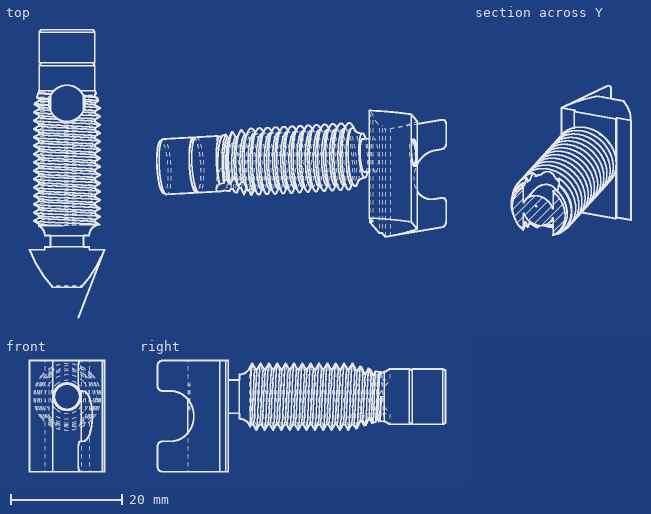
import cadquery as cq
import math


nut_height = 20.0
nut_width = 13.5
nut_front_width = 5.1
nut_depth = 6.8
boss_width = 8.0
boss_height = 0.5
shoulder_y = -boss_height
nut_front_y = shoulder_y - nut_depth

blade_angle = 69.0
blade_end_y = -12.74
blade_thickness = 0.03
blade_tip_radius = 1.0
blade_slot_width = 9.0
blade_slot_start = 6.1
blade_length = (shoulder_y - blade_end_y) / math.sin(math.radians(blade_angle))

screw_axis_z = 3.5
screw_front_y = 2.0
screw_body_y = 28.0
screw_rear_y = 39.0
body_diameter = 10.0
cap_length = 6.0
cap_y = screw_rear_y - cap_length
edge_chamfer_length = 0.5
edge_chamfer_depth = edge_chamfer_length * math.tan(math.radians(30))

thread_diameter = 12.0
thread_core_diameter = 10.1
thread_pitch = 1.5
thread_turns = 17
thread_start_y = 2.4
thread_root_width = 1.1
thread_root_overlap = 0.15
thread_taper_slope = 3.05
thread_clearance = 1.0
front_cove_radius = 2.0

window_diameter = 6.5
window_y = 25.75
spindle_diameter = 6.0

pin_diameter = 4.92
pin_chamfer = 0.2
pin_recess = 0.2


def cylinder_along_y(diameter, start_y, end_y):
    """Cylinder on the screw axis between two Y positions."""
    length = end_y - start_y
    origin = cq.Vector(0, start_y, screw_axis_z)
    return cq.Workplane(cq.Solid.makeCylinder(diameter / 2, length, origin, cq.Vector(0, 1, 0)))


def revolve_on_screw_axis(profile):
    """Revolve an XY profile about the Y axis and move it onto the screw axis."""
    turned = profile.close().revolve(360, (0, 0, 0), (0, 1, 0))
    return turned.translate((0, 0, screw_axis_z))


def make_nut():
    half_width = nut_width / 2
    half_front = nut_front_width / 2
    half_boss = boss_width / 2
    angle = math.radians(blade_angle)
    chord_angle = math.atan2(nut_depth, half_width - half_front)
    chord = math.hypot(nut_depth, half_width - half_front)
    flank_radius = chord / (2 * math.sin(angle - chord_angle))
    half_nut = (
        cq.Workplane("XY")
        .workplane(offset=-nut_height / 2)
        .moveTo(0, 0)
        .lineTo(half_boss, 0)
        .lineTo(half_boss, shoulder_y)
        .lineTo(half_width, shoulder_y)
        .radiusArc((half_front, nut_front_y), flank_radius)
        .lineTo(0, nut_front_y)
        .close()
        .extrude(nut_height)
    )
    return half_nut.union(half_nut.mirror("YZ"))


def make_blade():
    angle = math.radians(blade_angle)
    plane = cq.Plane(
        origin=(nut_width / 2, shoulder_y, 0),
        xDir=(-math.cos(angle), -math.sin(angle), 0),
        normal=(-math.sin(angle), math.cos(angle), 0),
    )
    sheet = (
        cq.Workplane(plane)
        .center(blade_length / 2, 0)
        .rect(blade_length, nut_height)
        .extrude(blade_thickness)
    )
    slot_radius = blade_slot_width / 2
    slot_center = blade_slot_start + slot_radius
    slot = (
        cq.Workplane(plane)
        .moveTo(blade_length, -slot_radius)
        .lineTo(slot_center, -slot_radius)
        .threePointArc((blade_slot_start, 0), (slot_center, slot_radius))
        .lineTo(blade_length, slot_radius)
        .close()
        .extrude(blade_thickness)
    )
    slotted = sheet.cut(slot)
    tip_edges = slotted.edges(cq.selectors.ParallelDirSelector(plane.zDir)).edges("<Y")
    return tip_edges.fillet(blade_tip_radius)


def make_thread_ridge():
    """Helical ridge with a sharp crest, its root sunk below the core surface."""
    core_radius = thread_core_diameter / 2
    crest_radius = thread_diameter / 2
    root_radius = core_radius - thread_root_overlap
    root_half_width = thread_root_width / 2 * (crest_radius - root_radius) / (crest_radius - core_radius)
    helix = cq.Wire.makeHelix(thread_pitch, thread_pitch * thread_turns, core_radius, lefthand=True)
    ridge = (
        cq.Workplane("XZ")
        .moveTo(root_radius, -root_half_width)
        .lineTo(crest_radius, 0)
        .lineTo(root_radius, root_half_width)
        .close()
        .sweep(cq.Workplane(helix), isFrenet=True)
    )
    return ridge.rotate((0, 0, 0), (1, 0, 0), -90).translate((0, thread_start_y, screw_axis_z))


def make_threaded_section():
    crest_radius = thread_diameter / 2
    core_radius = thread_core_diameter / 2
    clear_radius = crest_radius + thread_clearance
    cove_end_y = screw_front_y + front_cove_radius
    cove_diagonal = front_cove_radius * math.sqrt(0.5)
    envelope = revolve_on_screw_axis(
        cq.Workplane("XY")
        .moveTo(0, screw_front_y)
        .lineTo(crest_radius - front_cove_radius, screw_front_y)
        .threePointArc(
            (crest_radius - cove_diagonal, screw_front_y + cove_diagonal),
            (crest_radius, cove_end_y),
        )
        .lineTo(clear_radius, cove_end_y)
        .lineTo(clear_radius, screw_body_y - thread_taper_slope * (clear_radius - core_radius))
        .lineTo(core_radius, screw_body_y)
        .lineTo(0, screw_body_y)
    )
    core = cylinder_along_y(thread_core_diameter, screw_front_y, screw_body_y)
    return core.union(make_thread_ridge()).intersect(envelope)


def make_chamfered_cylinder(start_y, end_y):
    """Smooth part of the screw with a chamfer on its rear edge."""
    radius = body_diameter / 2
    return revolve_on_screw_axis(
        cq.Workplane("XY")
        .moveTo(0, start_y)
        .lineTo(radius, start_y)
        .lineTo(radius, end_y - edge_chamfer_length)
        .lineTo(radius - edge_chamfer_depth, end_y)
        .lineTo(0, end_y)
    )


def make_window():
    """Round cross window through the screw, around the inner spindle."""
    window = (
        cq.Workplane("XY")
        .center(0, window_y)
        .circle(window_diameter / 2)
        .extrude(thread_diameter, both=True)
        .translate((0, 0, screw_axis_z))
    )
    return window.cut(cylinder_along_y(spindle_diameter, screw_front_y, screw_rear_y))


def make_pin_recess():
    """Shallow bore in front of the pin end, deepened to a ring by the pin chamfer."""
    radius = pin_diameter / 2
    pin_end_y = nut_front_y + pin_recess
    return revolve_on_screw_axis(
        cq.Workplane("XY")
        .moveTo(0, nut_front_y)
        .lineTo(radius, nut_front_y)
        .lineTo(radius, pin_end_y + pin_chamfer)
        .lineTo(radius - pin_chamfer, pin_end_y)
        .lineTo(0, pin_end_y)
    )


def make_screw():
    body = make_chamfered_cylinder(screw_body_y, cap_y)
    cap = make_chamfered_cylinder(cap_y, screw_rear_y)
    return make_threaded_section().union(body).union(cap).cut(make_window())


neck = cylinder_along_y(spindle_diameter, shoulder_y, screw_front_y)
head = make_nut().cut(make_pin_recess()).union(make_blade())
result = head.union(neck).union(make_screw())